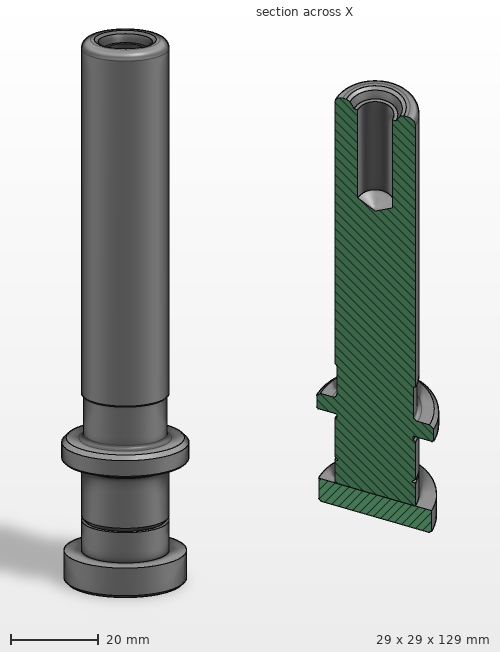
import cadquery as cq
import math

TOTAL_HEIGHT = 129.0

DISC_RADIUS = 28.0 / 2
DISC_HEIGHT = 7.2
DISC_CHAMFER = 0.6

PIN_RADIUS = 20.0 / 2
GROOVE_BOTTOM = 14.5
GROOVE_WIDTH = 1.0
GROOVE_DEPTH = 0.9
UNDERCUT_BOTTOM = 27.3
UNDERCUT_CHAMFER = 0.5
UNDERCUT_RADIUS = PIN_RADIUS - UNDERCUT_CHAMFER

COLLAR_RADIUS = 29.0 / 2
COLLAR_BOTTOM = 28.9
COLLAR_THICKNESS = 5.2
COLLAR_CHAMFER_TOP = 1.0
COLLAR_CHAMFER_BOTTOM = 0.4
COLLAR_TOP = COLLAR_BOTTOM + COLLAR_THICKNESS

NECK_RADIUS = 9.5
NECK_FILLET = 1.0
SHAFT_BOTTOM = 44.2
SHAFT_STEP_HEIGHT = 0.4
TIP_FILLET = 2.0

GUARD_RADIUS = 7.1
CONE_RADIUS = 6.2
LEDGE_RADIUS = 5.2
DRILL_RADIUS = 4.3
DRILL_DEPTH = 30.0
GUARD_ANGLE = 120.0
CENTRE_ANGLE = 60.0
DRILL_ANGLE = 118.0


def cone_height(outer_radius, inner_radius, included_angle):
    """Axial length of a cone between two radii."""
    return (outer_radius - inner_radius) / math.tan(math.radians(included_angle / 2))


def revolve_about_z(profile):
    """Turn a closed profile drawn in radius and height about the Z axis."""
    return profile.close().revolve(360, (0, 0, 0), (0, 1, 0))


def make_disc():
    """Plain base disc with a chamfered lower edge."""
    disc = cq.Workplane("XY").circle(DISC_RADIUS).extrude(DISC_HEIGHT)
    return disc.faces("<Z").edges().chamfer(DISC_CHAMFER)


def make_pin_blank():
    """Turned outside of the pin, from the disc up to the rounded tip."""
    groove_top = GROOVE_BOTTOM + GROOVE_WIDTH
    arc_middle = 1 - math.sqrt(0.5)
    profile = (
        cq.Workplane("XZ")
        .moveTo(0, DISC_HEIGHT)
        .lineTo(PIN_RADIUS, DISC_HEIGHT)
        .lineTo(PIN_RADIUS, GROOVE_BOTTOM)
        .lineTo(PIN_RADIUS - GROOVE_DEPTH, GROOVE_BOTTOM)
        .lineTo(PIN_RADIUS, groove_top)
        .lineTo(PIN_RADIUS, UNDERCUT_BOTTOM)
        .lineTo(UNDERCUT_RADIUS, UNDERCUT_BOTTOM + UNDERCUT_CHAMFER)
        .lineTo(UNDERCUT_RADIUS, COLLAR_BOTTOM)
        .lineTo(COLLAR_RADIUS - COLLAR_CHAMFER_BOTTOM, COLLAR_BOTTOM)
        .lineTo(COLLAR_RADIUS, COLLAR_BOTTOM + COLLAR_CHAMFER_BOTTOM)
        .lineTo(COLLAR_RADIUS, COLLAR_TOP - COLLAR_CHAMFER_TOP)
        .lineTo(COLLAR_RADIUS - COLLAR_CHAMFER_TOP, COLLAR_TOP)
        .lineTo(NECK_RADIUS + NECK_FILLET, COLLAR_TOP)
        .threePointArc(
            (NECK_RADIUS + arc_middle * NECK_FILLET, COLLAR_TOP + arc_middle * NECK_FILLET),
            (NECK_RADIUS, COLLAR_TOP + NECK_FILLET),
        )
        .lineTo(NECK_RADIUS, SHAFT_BOTTOM)
        .lineTo(PIN_RADIUS, SHAFT_BOTTOM + SHAFT_STEP_HEIGHT)
        .lineTo(PIN_RADIUS, TOTAL_HEIGHT - TIP_FILLET)
        .threePointArc(
            (PIN_RADIUS - arc_middle * TIP_FILLET, TOTAL_HEIGHT - arc_middle * TIP_FILLET),
            (PIN_RADIUS - TIP_FILLET, TOTAL_HEIGHT),
        )
        .lineTo(0, TOTAL_HEIGHT)
    )
    return revolve_about_z(profile)


def make_centre_hole():
    """Blind drilled hole with a centring cone and a protective countersink."""
    cone_top = TOTAL_HEIGHT - cone_height(GUARD_RADIUS, CONE_RADIUS, GUARD_ANGLE)
    ledge = cone_top - cone_height(CONE_RADIUS, LEDGE_RADIUS, CENTRE_ANGLE)
    drill_shoulder = TOTAL_HEIGHT - DRILL_DEPTH
    drill_point = drill_shoulder - cone_height(DRILL_RADIUS, 0, DRILL_ANGLE)
    profile = (
        cq.Workplane("XZ")
        .moveTo(0, TOTAL_HEIGHT)
        .lineTo(GUARD_RADIUS, TOTAL_HEIGHT)
        .lineTo(CONE_RADIUS, cone_top)
        .lineTo(LEDGE_RADIUS, ledge)
        .lineTo(DRILL_RADIUS, ledge)
        .lineTo(DRILL_RADIUS, drill_shoulder)
        .lineTo(0, drill_point)
    )
    return revolve_about_z(profile)


def make_pin():
    return make_pin_blank().cut(make_centre_hole())


disc = make_disc()
pin = make_pin()
result = cq.Compound.makeCompound([disc.val(), pin.val()])